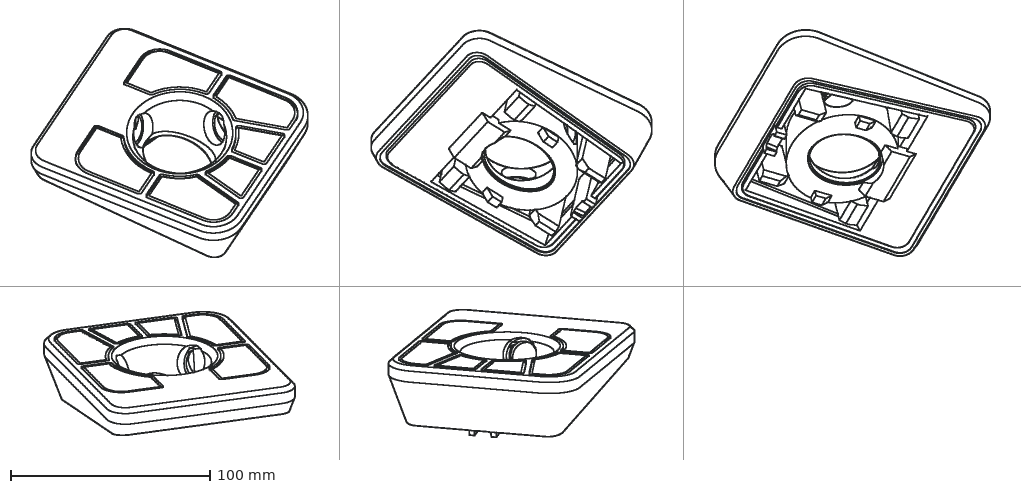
import cadquery as cq
import math

LENGTH = 115.0
WIDTH = 100.0
TOTAL_HEIGHT = 36.7
LEFT_CORNER = 10.0
RIGHT_CORNER = 16.0
TOP_CHAMFER = 2.3
BAND_BOTTOM = 8.0
DRAFT = 20.0
SLOPE = 10.0
MID_DEPTH = 24.6

BORE_X = 4.6
BORE_RADIUS = 26.7
SEAT_RADIUS = 23.6
SEAT_DEPTH = 3.1
BALL_CENTER_DEPTH = 2.3
HOLE_POSITION = 3.0
HOLE_LENGTH = 37.5
HOLE_WIDTH = 29.9
HOLE_LIP = 0.9
HOLE_START = 13.8

SOCKET_ANGLES = (60, 180, 300)
SOCKET_TILT = 20.0
SOCKET_DIAMETER = 17.4
SOCKET_THROAT = 14.5
SOCKET_STEP = 27.6
SOCKET_END = 33.9

PAD_LEFT = -35.4
PAD_RIGHT = 52.4
PAD_HALF_WIDTH = 44.8
PAD_CORNER = 11.0
PAD_EDGE_ROUND = 1.6
PAD_RING_RADIUS = 28.3
GROOVE_DEPTH = 1.5
GROOVE_BEVEL = 45.0
BAR_WIDTH = 2.6
CROSS_BAR_X = 7.0
PLAIN_HALF_WIDTH = 15.0
SPOKE_ANGLE = 14.5
SPOKE_END_Y = 26.1

RIM_MARGIN = 1.6
RIM_GROOVE_WIDTH = 2.5
RIM_GROOVE_DEPTH = 1.4
RIM_CORNER = 6.9
CAVITY_MARGIN = 6.9
CAVITY_LEFT = -24.2
TOP_PLATE = 5.8
BOWL_OUTER_RADIUS = 28.2

FOOT_DROP = 4.0
FRONT_FOOT_HALF_WIDTH = 15.2
FRONT_FOOT_START = -29.7
FRONT_FOOT_END = -12.2
FRONT_FOOT_LEAD = 4.1
FRONT_FOOT_TRAIL = 3.0
HANGER_START = -21.3
HANGER_END = -11.5
HANGER_LEAD = 4.6
HANGER_TRAIL = 3.5
HANGER_DROP = 1.3
HANGER_Y = 29.4
HANGER_WIDTH = 13.1
RING_FOOT_START = -0.8
RING_FOOT_END = 8.9
RING_FOOT_LEAD = 4.1
RING_FOOT_Y = 25.3
RING_FOOT_WIDTH = 4.6
REAR_FOOT_START = 25.6
REAR_FOOT_END = 40.5
REAR_FOOT_LEAD = 4.7
REAR_FOOT_Y = 21.3
REAR_FOOT_WIDTH = 5.8
REAR_FOOT_CHAMFER = 2.3
FOOT_ROOT = 2.3
FORK_END = 46.1
FORK_LENGTH = 5.8
FORK_HALF_WIDTH = 7.1
FORK_GAP_HALF_WIDTH = 4.4
FORK_GAP_DEPTH = 33.5
FORK_CHAMFER = 1.4

BALL_RADIUS = math.hypot(SEAT_RADIUS, BALL_CENTER_DEPTH - SEAT_DEPTH)
SKIRT_DEPTH = 26.5
TOLERANCE = 0.01
DEEP = 2 * TOTAL_HEIGHT
SIN_SLOPE = math.sin(math.radians(SLOPE))
COS_SLOPE = math.cos(math.radians(SLOPE))

slope_frame = cq.Plane(origin=(0, 0, -MID_DEPTH), xDir=(COS_SLOPE, 0, -SIN_SLOPE), normal=(0, -1, 0))


def rounded_block(top, depth, taper=0):
    """Rounded plan outline extruded downwards from Z = top."""
    sheet = (
        cq.Workplane("XY")
        .workplane(offset=top)
        .rect(LENGTH, WIDTH)
        .extrude(-depth)
        .edges("|Z and <X").fillet(LEFT_CORNER)
        .edges("|Z and >X").fillet(RIGHT_CORNER)
    )
    outline = sheet.faces(">Z").wires().val()
    return cq.Workplane(cq.Plane((0, 0, top))).add(outline).toPending().extrude(-depth, taper=taper)


def below_slope(lift):
    """Everything lower than the sloped underside raised by lift."""
    return (
        cq.Workplane(slope_frame)
        .center(0, lift - DEEP / 2)
        .rect(2 * LENGTH, DEEP)
        .extrude(WIDTH, both=True)
    )


def drafted_box(margin):
    """Square-cornered volume whose sides stay margin inside the drafted skirt."""
    return (
        cq.Workplane("XY")
        .workplane(offset=-BAND_BOTTOM)
        .rect(LENGTH - 2 * margin, WIDTH - 2 * margin)
        .extrude(-SKIRT_DEPTH, taper=DRAFT)
    )


def prism(profile, y_center, width):
    """Side profile, given in the slope frame, extruded across Y."""
    return (
        cq.Workplane(slope_frame)
        .polyline(profile)
        .close()
        .extrude(width / 2, both=True)
        .translate((0, y_center, 0))
    )


def make_body():
    """Chamfered upright band on a drafted skirt, cut off along the sloped underside."""
    band = rounded_block(0, BAND_BOTTOM).faces(">Z").chamfer(TOP_CHAMFER)
    skirt = rounded_block(-BAND_BOTTOM, SKIRT_DEPTH, DRAFT)
    return band.union(skirt).cut(below_slope(0))


def make_hollow():
    """Perimeter groove of the underside and the cavity behind the plain strip."""
    outer = drafted_box(RIM_MARGIN).edges("not (|X or |Y)").fillet(RIM_CORNER)
    inner = drafted_box(RIM_MARGIN + RIM_GROOVE_WIDTH).edges("not (|X or |Y)").fillet(RIM_CORNER)
    groove = outer.cut(inner).intersect(below_slope(RIM_GROOVE_DEPTH))
    right_of_strip = cq.Workplane("XY").box(LENGTH, WIDTH, DEEP, centered=(False, True, True))
    right_of_strip = right_of_strip.translate((CAVITY_LEFT, 0, 0))
    upper_cavity = (
        cq.Workplane("XY")
        .workplane(offset=-BAND_BOTTOM)
        .rect(LENGTH - 2 * CAVITY_MARGIN, WIDTH - 2 * CAVITY_MARGIN)
        .extrude(BAND_BOTTOM - TOP_PLATE)
    )
    cavity = drafted_box(CAVITY_MARGIN).union(upper_cavity).intersect(right_of_strip)
    return groove.union(cavity)


def make_bowl():
    """Solid column around the bore, flush with the sloped underside."""
    column = cq.Workplane("XY").center(BORE_X, 0).circle(BOWL_OUTER_RADIUS).extrude(-DEEP / 2)
    return column.cut(below_slope(0))


def height_inside_plate(distance):
    """Slope-frame height of a level inside the top plate, at a distance down the slope."""
    return (MID_DEPTH - TOP_PLATE / 2 + distance * SIN_SLOPE) / COS_SLOPE


def foot_profile(start, end, lead, trail, drop, root):
    """Trapezoid below the slope with a sloping front and back, continued up to the root height."""
    return [(start, root), (start, 0), (start + lead, -drop), (end - trail, -drop), (end, 0), (end, root)]


def make_feet():
    """Sloping feet: one in front, three mirrored pairs and a fork at the back."""
    front = foot_profile(
        FRONT_FOOT_START, FRONT_FOOT_END, FRONT_FOOT_LEAD, FRONT_FOOT_TRAIL, FOOT_DROP, FOOT_ROOT
    )
    hanger = foot_profile(
        HANGER_START, HANGER_END, HANGER_LEAD, HANGER_TRAIL, HANGER_DROP, height_inside_plate(HANGER_START)
    )
    ring_foot = foot_profile(RING_FOOT_START, RING_FOOT_END, RING_FOOT_LEAD, 0, FOOT_DROP, FOOT_ROOT)
    rear_root = height_inside_plate(REAR_FOOT_START)
    rear_foot = foot_profile(REAR_FOOT_START, REAR_FOOT_END, REAR_FOOT_LEAD, 0, FOOT_DROP, rear_root)

    feet = prism(front, 0, 2 * FRONT_FOOT_HALF_WIDTH)
    for side in (-1, 1):
        inner_edge = "<Y" if side > 0 else ">Y"
        rear = prism(rear_foot, side * REAR_FOOT_Y, REAR_FOOT_WIDTH)
        feet = (
            feet.union(prism(hanger, side * HANGER_Y, HANGER_WIDTH))
            .union(prism(ring_foot, side * RING_FOOT_Y, RING_FOOT_WIDTH))
            .union(rear.faces("<Z").edges(inner_edge).chamfer(REAR_FOOT_CHAMFER))
        )
    return feet.union(make_fork())


def make_fork():
    """Two-pronged rear foot hanging from the top plate."""
    start = FORK_END - FORK_LENGTH
    drop = (TOTAL_HEIGHT - MID_DEPTH - FORK_END * SIN_SLOPE) / COS_SLOPE
    top = height_inside_plate(start)
    fork = prism([(start, top), (start, -drop), (FORK_END, -drop), (FORK_END, top)], 0, 2 * FORK_HALF_WIDTH)
    chamfer_start = FORK_GAP_HALF_WIDTH - FORK_CHAMFER
    gap = (
        cq.Workplane("YZ")
        .moveTo(-FORK_GAP_HALF_WIDTH, -DEEP)
        .lineTo(-FORK_GAP_HALF_WIDTH, -FORK_GAP_DEPTH - FORK_CHAMFER)
        .lineTo(-chamfer_start, -FORK_GAP_DEPTH)
        .lineTo(chamfer_start, -FORK_GAP_DEPTH)
        .lineTo(FORK_GAP_HALF_WIDTH, -FORK_GAP_DEPTH - FORK_CHAMFER)
        .lineTo(FORK_GAP_HALF_WIDTH, -DEEP)
        .close()
        .extrude(LENGTH)
    )
    return fork.cut(gap)


def make_bore():
    """Conical seat, spherical ball socket and the oval hole through the sloped floor."""
    seat = (
        cq.Workplane("XZ")
        .polyline([(0, 0), (BORE_RADIUS, 0), (SEAT_RADIUS, -SEAT_DEPTH), (0, -SEAT_DEPTH)])
        .close()
        .revolve(360, (0, 0, 0), (0, 1, 0))
    )
    below_seat = cq.Workplane("XY").circle(BORE_RADIUS).extrude(-DEEP / 2).translate((0, 0, -SEAT_DEPTH))
    ball = cq.Workplane("XY").sphere(BALL_RADIUS).translate((0, 0, -BALL_CENTER_DEPTH))
    ball = ball.intersect(below_seat)
    bowl = seat.union(ball).translate((BORE_X, 0, 0))
    return bowl.union(oval_hole(0, HOLE_START)).union(oval_hole(HOLE_LIP, HOLE_LIP))


def oval_hole(growth, height):
    """Oval square to the sloped underside, reaching from below it up to the given height."""
    down_slope = (COS_SLOPE, 0, -SIN_SLOPE)
    frame = cq.Plane(origin=(0, 0, -MID_DEPTH), xDir=down_slope, normal=(SIN_SLOPE, 0, COS_SLOPE))
    return (
        cq.Workplane(frame)
        .workplane(offset=-FOOT_DROP)
        .center(HOLE_POSITION, 0)
        .ellipse(HOLE_LENGTH / 2 + growth, HOLE_WIDTH / 2 + growth)
        .extrude(FOOT_DROP + height)
    )


def make_socket(angle):
    """Stepped bore pointing outwards and down from the ball centre."""
    tilt = math.radians(SOCKET_TILT)
    axis = cq.Vector(math.cos(tilt), 0, -math.sin(tilt))
    frame = cq.Plane(origin=(0, 0, -BALL_CENTER_DEPTH), xDir=(0, 1, 0), normal=axis)
    wide = cq.Workplane(frame).circle(SOCKET_DIAMETER / 2).extrude(SOCKET_STEP)
    throat = cq.Workplane(frame).circle(SOCKET_THROAT / 2).extrude(SOCKET_END)
    return wide.union(throat).rotate((0, 0, 0), (0, 0, 1), angle).translate((BORE_X, 0, 0))


def bar(length, x, y, angle):
    """Bar between pads, starting at (x, y) and running along angle."""
    return (
        cq.Workplane("XY")
        .box(length, BAR_WIDTH, DEEP, centered=(False, True, True))
        .rotate((0, 0, 0), (0, 0, 1), angle)
        .translate((x, y, 0))
    )


def make_pads():
    """Grooves around six flush pads: upright outside, bevelled on the pad side."""
    pad_center = (PAD_LEFT + PAD_RIGHT) / 2
    pads = (
        cq.Workplane("XY")
        .center(pad_center, 0)
        .rect(PAD_RIGHT - PAD_LEFT, 2 * PAD_HALF_WIDTH)
        .extrude(-GROOVE_DEPTH)
    )
    strip = cq.Workplane("XY").box(BORE_X - PAD_LEFT, 2 * PLAIN_HALF_WIDTH, DEEP)
    ring = cq.Workplane("XY").center(BORE_X, 0).circle(PAD_RING_RADIUS).extrude(DEEP, both=True)
    pads = pads.cut(strip.translate(((BORE_X + PAD_LEFT) / 2, 0, 0))).cut(ring)
    pads = pads.cut(bar(WIDTH, CROSS_BAR_X, -WIDTH / 2, 90))
    pads = pads.cut(bar(LENGTH, BORE_X, 0, 0))
    spoke = bar(LENGTH / 2, PAD_RIGHT + BAR_WIDTH, SPOKE_END_Y, 180 + SPOKE_ANGLE)
    pads = pads.cut(spoke).cut(spoke.mirror("XZ"))

    corner_reach = math.hypot((PAD_RIGHT - PAD_LEFT) / 2, PAD_HALF_WIDTH)

    def at_frame_corner(edge):
        middle = edge.Center()
        return math.hypot(middle.x - pad_center, middle.y) > corner_reach - TOLERANCE

    pads = pads.edges("|Z").filter(lambda edge: not at_frame_corner(edge)).fillet(PAD_EDGE_ROUND)
    pads = pads.edges("|Z").filter(at_frame_corner).fillet(PAD_CORNER)
    outlines = [face.outerWire() for face in pads.faces(">Z").vals()]
    plateaus = (
        cq.Workplane("XY")
        .add([outline.translate(cq.Vector(0, 0, -GROOVE_DEPTH)) for outline in outlines])
        .toPending()
        .extrude(GROOVE_DEPTH, taper=GROOVE_BEVEL)
    )
    return pads.cut(plateaus)


result = make_body().cut(make_hollow()).union(make_bowl()).union(make_feet()).cut(make_bore())
for angle in SOCKET_ANGLES:
    result = result.cut(make_socket(angle))
result = result.cut(make_pads())